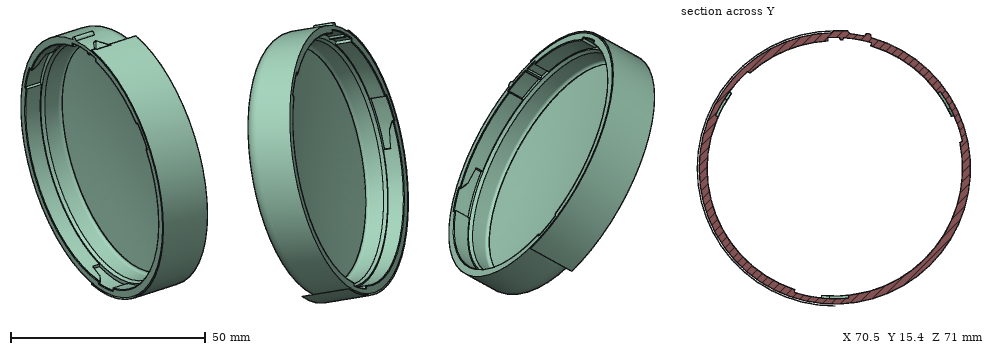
import cadquery as cq
import math


skin_radius = 35.5
body_radius = 35.0
shoulder_radius = 3.7
shoulder_end = 13.35
shoulder_start = shoulder_end - shoulder_radius
dome_edge_radius = body_radius - shoulder_radius
overall_depth = 15.35

bore_radius = 32.9
bore_depth = 4.55
rim_chamfer = 0.2
rim_chamfer_angle = 45.0
ledge_radius = 32.5
wall_radius = 32.0
wall_start = 5.5
wall_end = 9.45
inner_corner_radius = 0.85
inner_corner_end_radius = wall_radius - inner_corner_radius
inner_dome_edge_radius = 30.95
inner_dome_edge_depth = 10.0
inner_dome_depth = 11.85

skin_thickness = 0.1

slot_outer_radius = 33.6
slot_count = 3
slot_corner_angle = -84.0
slot_span = 12.0
lip_thickness = 2.55
lip_ramp_thickness = 1.8
lip_ramp_length = 2.1
lip_nose_thickness = 0.9
lip_nose_length = 0.7
lip_edge_thickness = 0.4

pocket_outer_radius = 33.7
pocket_start_angle = 87.0
pocket_end_angle = 106.3
rib_angle = 93.0
rib_tip_width = 0.65
rib_root_width = 1.15
rib_inner_radius = 33.15

pin_radius = 0.85
pin_x = -8.5
pin_length = 5.55

mark_tip_x = -4.6
mark_base_x = 1.1
mark_y = 3.3
mark_taper = 41.0
mark_corner_radius = 0.65
mark_root = 34.7


def ring(inner_radius, outer_radius, depth):
    """Ring around the cap axis, from the rim plane to the given depth."""
    return cq.Workplane("XZ").circle(outer_radius).circle(inner_radius).extrude(-depth)


def polar(radius, angle):
    """X and Z of a point at an angle in degrees from +X towards +Z."""
    return radius * math.cos(math.radians(angle)), radius * math.sin(math.radians(angle))


def arc_middle(edge_radius, edge_depth, apex_depth):
    """Point halfway in radius along a dome arc that crosses the axis squarely."""
    rise = apex_depth - edge_depth
    sphere_radius = (edge_radius**2 + rise**2) / (2 * rise)
    middle_radius = edge_radius / 2
    drop = sphere_radius - math.sqrt(sphere_radius**2 - middle_radius**2)
    return middle_radius, apex_depth - drop


def revolved_cap():
    shoulder_mid = shoulder_radius * math.cos(math.radians(45))
    corner_mid = inner_corner_radius * math.cos(math.radians(45))
    profile = (
        cq.Workplane("XY")
        .moveTo(bore_radius, 0)
        .lineTo(body_radius, 0)
        .lineTo(body_radius, shoulder_start)
        .threePointArc(
            (dome_edge_radius + shoulder_mid, shoulder_start + shoulder_mid),
            (dome_edge_radius, shoulder_end),
        )
        .threePointArc(
            arc_middle(dome_edge_radius, shoulder_end, overall_depth),
            (0, overall_depth),
        )
        .lineTo(0, inner_dome_depth)
        .threePointArc(
            arc_middle(inner_dome_edge_radius, inner_dome_edge_depth, inner_dome_depth),
            (inner_dome_edge_radius, inner_dome_edge_depth),
        )
        .lineTo(inner_corner_end_radius, wall_end + inner_corner_radius)
        .threePointArc(
            (inner_corner_end_radius + corner_mid, wall_end + corner_mid),
            (wall_radius, wall_end),
        )
        .lineTo(wall_radius, wall_start)
        .lineTo(ledge_radius, bore_depth)
        .lineTo(bore_radius, bore_depth)
        .close()
    )
    return profile.revolve(360, (0, 0, 0), (0, 1, 0))


def half_skin():
    """Thin sleeve on the +X half; it stands clear of the body and joins it at the mark."""
    sleeve = ring(skin_radius - skin_thickness, skin_radius, shoulder_end)
    half = cq.Workplane("XY").box(
        2 * skin_radius, 2 * overall_depth, 4 * skin_radius, centered=(False, True, True)
    )
    return sleeve.intersect(half)


def bayonet_slot(corner_angle):
    """L-shaped slot: an open entry on one side of the corner, a ramped lip on the other."""
    length = slot_outer_radius * math.sin(math.radians(slot_span))
    outline = [
        (0, 0),
        (-length, 0),
        (-length, bore_depth),
        (length, bore_depth),
        (length, lip_thickness),
        (lip_ramp_length, lip_ramp_thickness),
        (lip_nose_length, lip_nose_thickness),
        (0, lip_edge_thickness),
    ]
    cutter = cq.Workplane("XY").polyline(outline).close().extrude(skin_radius)
    cutter = cutter.rotate((0, 0, 0), (0, 1, 0), 90 - corner_angle)
    return cutter.intersect(ring(wall_radius, slot_outer_radius, bore_depth))


def detent_pocket():
    far = 2 * skin_radius
    wedge = (
        cq.Workplane("XZ")
        .polyline([(0, 0), polar(far, pocket_start_angle), polar(far, pocket_end_angle)])
        .close()
        .extrude(-bore_depth)
    )
    rib = (
        cq.Workplane("XZ")
        .polyline(
            [
                (-rib_tip_width / 2, rib_inner_radius),
                (rib_tip_width / 2, rib_inner_radius),
                (rib_root_width / 2, pocket_outer_radius),
                (-rib_root_width / 2, pocket_outer_radius),
            ]
        )
        .close()
        .extrude(-bore_depth)
        .rotate((0, 0, 0), (0, 1, 0), 90 - rib_angle)
    )
    return ring(wall_radius, pocket_outer_radius, bore_depth).intersect(wedge).cut(rib)


def index_pin():
    pin_z = math.sqrt(body_radius**2 - pin_x**2)
    return cq.Workplane("XZ").center(pin_x, pin_z).circle(pin_radius).extrude(-pin_length)


def triangle_mark():
    """Equilateral plateau with sloping sides, level with the top of the sleeve."""
    half_base = (mark_base_x - mark_tip_x) / math.sqrt(3)
    height = skin_radius - mark_root
    corners = [
        (mark_tip_x, mark_y),
        (mark_base_x, mark_y - half_base),
        (mark_base_x, mark_y + half_base),
    ]
    prism = cq.Workplane("XY").polyline(corners).close().extrude(height)
    outline = prism.edges("|Z").fillet(mark_corner_radius).faces("<Z").wires().val()
    plateau = cq.Workplane("XY").add(outline).toPending().extrude(height, taper=mark_taper)
    return plateau.translate((0, 0, mark_root))


def rim_flare(body):
    """Tapered cutter that bevels the rim's inner edge, slots and pocket included."""
    opening = body.faces("<Y").val().innerWires()[0]
    widened = opening.offset2D(rim_chamfer, "intersection")[0]
    return cq.Workplane("XZ").add(widened).toPending().extrude(rim_chamfer, taper=rim_chamfer_angle)


result = revolved_cap().union(index_pin()).union(triangle_mark())
for index in range(slot_count):
    result = result.cut(bayonet_slot(slot_corner_angle + index * 360 / slot_count))
result = result.cut(detent_pocket())
result = result.cut(rim_flare(result))
result = result.union(half_skin())